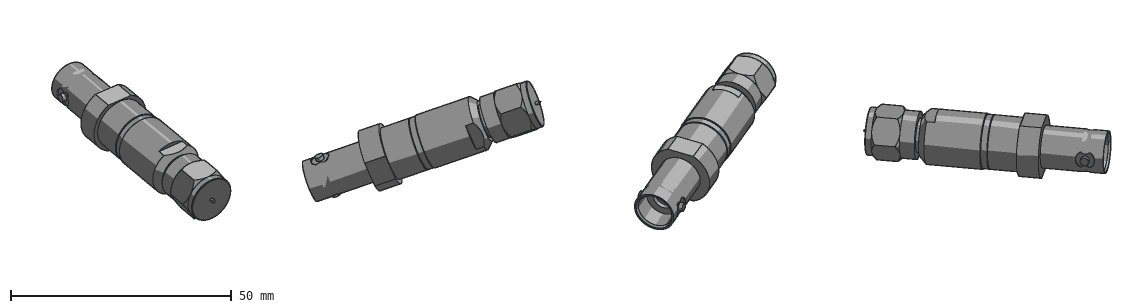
import cadquery as cq
import math


socket_radius = 4.9
bore_depth = 4.9
bore_entry_radius = 4.15
bore_floor_radius = 4.05
mouth_radius = 4.5
mouth_depth = 0.5
contact_hole_radius = 2.35
contact_hole_depth = 1.1

lug_x = 4.2
lug_radius = 0.98
lug_tip_radius = 5.5
relief_radius = 2.2
relief_flat_y = 4.5
groove_half_width = 0.95
groove_depth = 0.15

flange_start = 14.5
flange_end = 19.5
flange_radius = 7.25
flange_across_flats = 13.0

collar_radius = 6.2
barrel_radius = 6.4
seam_groove_start = 26.35
seam_groove_width = 0.15
seam_groove_depth = 0.1
barrel_start = 27.95
wrench_start = 39.1
barrel_taper_start = 40.95
barrel_end = 42.5
barrel_end_radius = 4.9
neck_radius = 3.9

nut_start = 43.35
hex_start = 46.8
hex_end = 53.3
nut_end = 54.8
nut_across_flats = 11.0
nut_edge_chamfer = 0.15

pin_radius = 0.4
pin_tip_x = 56.1
pin_cone_length = 0.45

wrench_across_flats = nut_across_flats
lug_root_y = (bore_entry_radius + relief_flat_y) / 2


def revolve_about_x(points):
    """Solid of revolution about X from (x, radius) points."""
    return cq.Workplane("XY").polyline(points).close().revolve(360, (0, 0, 0), (1, 0, 0))


def x_cylinder(start, end, radius):
    return cq.Workplane("YZ", origin=(start, 0, 0)).circle(radius).extrude(end - start)


def slab_between_flats(start, end, across_flats):
    length = end - start
    width = 4 * flange_radius
    return cq.Workplane("XY").box(length, width, across_flats).translate((start + length / 2, 0, 0))


def make_shell():
    barrel_step = barrel_radius - collar_radius
    seam_groove_end = seam_groove_start + seam_groove_width
    groove_floor = collar_radius - seam_groove_depth
    return revolve_about_x([
        (0, 0),
        (0, socket_radius),
        (flange_end, socket_radius),
        (flange_end, collar_radius),
        (seam_groove_start, collar_radius),
        (seam_groove_start, groove_floor),
        (seam_groove_end, groove_floor),
        (seam_groove_end, collar_radius),
        (barrel_start, collar_radius),
        (barrel_start + barrel_step, barrel_radius),
        (barrel_taper_start, barrel_radius),
        (barrel_end, barrel_end_radius),
        (barrel_end, neck_radius),
        (nut_start, neck_radius),
        (nut_start, 0),
    ])


def make_lug_groove():
    """Shallow ring groove with an arc profile, running around the socket through both lugs."""
    return (
        cq.Workplane("XY")
        .moveTo(lug_x - groove_half_width, socket_radius)
        .threePointArc((lug_x, socket_radius - groove_depth), (lug_x + groove_half_width, socket_radius))
        .close()
        .revolve(360, (0, 0, 0), (1, 0, 0))
    )


def make_flange():
    disc = x_cylinder(flange_start, flange_end, flange_radius)
    return disc.intersect(slab_between_flats(flange_start, flange_end, flange_across_flats))


def make_wrench_cut():
    """Material outside the two wrench flats at the end of the barrel."""
    disc = x_cylinder(wrench_start, barrel_end, flange_radius)
    return disc.cut(slab_between_flats(wrench_start, barrel_end, wrench_across_flats))


def make_lug_relief(side):
    face = cq.Workplane("XZ", origin=(lug_x, side * relief_flat_y, 0))
    return face.circle(relief_radius).extrude(-side * socket_radius)


def make_lug(side):
    """Bayonet lug whose tip is curved about the connector axis."""
    root = cq.Workplane("XZ", origin=(lug_x, side * lug_root_y, 0))
    post = root.circle(lug_radius).extrude(-side * lug_tip_radius)
    return post.intersect(x_cylinder(lug_x - lug_radius, lug_x + lug_radius, lug_tip_radius))


def make_bore():
    """Chamfered mouth, slightly tapered bore and the contact hole in its floor."""
    hole_end = bore_depth + contact_hole_depth
    return revolve_about_x([
        (0, 0),
        (0, mouth_radius),
        (mouth_depth, bore_entry_radius),
        (bore_depth, bore_floor_radius),
        (bore_depth, contact_hole_radius),
        (hole_end, contact_hole_radius),
        (hole_end, 0),
    ])


def make_housing():
    body = make_shell().cut(make_lug_groove()).cut(make_wrench_cut()).union(make_flange())
    for side in (-1, 1):
        body = body.cut(make_lug_relief(side)).union(make_lug(side))
    return body.cut(make_bore())


def make_nut():
    """Round nut with a hexagon whose corners are bevelled down to the round part."""
    nut_radius = nut_across_flats / 2
    corner_radius = nut_across_flats / math.sqrt(3)
    bevel = corner_radius - nut_radius
    sleeve = x_cylinder(nut_start, nut_end, nut_radius).faces(">X").chamfer(nut_edge_chamfer)
    hexagon = (
        cq.Workplane("YZ", origin=(hex_start, 0, 0))
        .polygon(6, 2 * corner_radius)
        .extrude(hex_end - hex_start)
    )
    bevel_envelope = revolve_about_x([
        (hex_start, 0),
        (hex_start, nut_radius),
        (hex_start + bevel, corner_radius),
        (hex_end - bevel, corner_radius),
        (hex_end, nut_radius),
        (hex_end, 0),
    ])
    return sleeve.union(hexagon.intersect(bevel_envelope))


def make_pin():
    return revolve_about_x([
        (nut_end, 0),
        (nut_end, pin_radius),
        (pin_tip_x - pin_cone_length, pin_radius),
        (pin_tip_x, 0),
    ])


housing = make_housing()
nut = make_nut()
pin = make_pin()

result = cq.Compound.makeCompound([housing.val(), nut.val(), pin.val()])